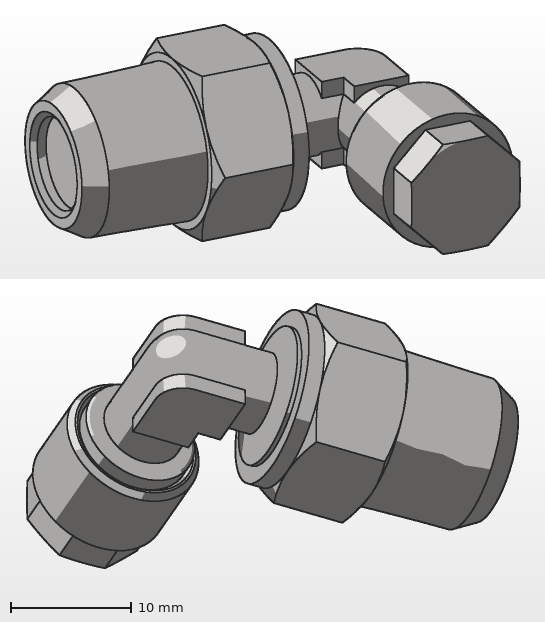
import cadquery as cq
import math


PIPE_RADIUS = 3.5
FLAT_HALF_WIDTH = 2.52
FLAT_HEIGHT = 7.9
FLAT_REACH = 4.55

SHOULDER_START = 7.02
SHOULDER_CONE_END = 7.75
SHOULDER_RADIUS = 6.0
WASHER_START = 8.1
HEX_START = 9.55
HEX_SIDES = 6
HEX_LENGTH = 7.57
HEX_ACROSS_FLATS = 15.0
HEX_CHAMFER_ANGLE = 30.0
THREAD_ROOT_RADIUS = 6.8
THREAD_TIP_RADIUS = 6.55
TIP_RADIUS = 5.42
TIP_CHAMFER_LENGTH = 1.98
MALE_END = 28.1
BORE_MOUTH_RADIUS = 4.5
BORE_RADIUS = 4.0
BORE_CHAMFER_LENGTH = 0.45
BORE_DEPTH = 1.25

COLLAR_START = 8.2
COLLAR_CONE_END = 8.52
COLLAR_CONE_RADIUS = 4.67
COLLAR_RIM = 8.65
COLLAR_RADIUS = 4.95
SLEEVE_START = 9.65
SLEEVE_RADIUS = 6.0
SLEEVE_CHAMFER = 0.5
SLEEVE_MOUTH_RADIUS = 5.3
SLEEVE_END = 17.15
OCTAGON_SIDES = 8
OCTAGON_ACROSS_FLATS = 10.0
OCTAGON_CHAMFER_ANGLE = 15.0
TUBE_END = 20.6

HEX_END = HEX_START + HEX_LENGTH
HEX_INRADIUS = HEX_ACROSS_FLATS / 2
HEX_CORNER_RADIUS = HEX_INRADIUS / math.cos(math.pi / HEX_SIDES)
OCTAGON_INRADIUS = OCTAGON_ACROSS_FLATS / 2
OCTAGON_CORNER_RADIUS = OCTAGON_INRADIUS / math.cos(math.pi / OCTAGON_SIDES)


def corner_drop(corner_radius, inradius, angle):
    """Length along the axis that a cone starting at the inradius takes off a polygon's corners."""
    return (corner_radius - inradius) * math.tan(math.radians(angle))


def turned_on_y(profile):
    """Revolve (radius, distance along -Y) points about the Y axis."""
    points = [(radius, -distance) for radius, distance in profile]
    return cq.Workplane("XY").polyline(points).close().revolve(360, (0, 0, 0), (0, 1, 0))


def turned_on_x(profile):
    """Revolve (distance along X, radius) points about the X axis."""
    return cq.Workplane("XY").polyline(profile).close().revolve(360, (0, 0, 0), (1, 0, 0))


def make_elbow():
    """Two pipes joined by a ball, with an L-shaped wrench flat above and below."""
    corner = cq.Workplane("XY").sphere(PIPE_RADIUS)
    down = cq.Workplane("XZ").circle(PIPE_RADIUS).extrude(WASHER_START)
    across = cq.Workplane("YZ").circle(PIPE_RADIUS).extrude(SLEEVE_START)
    w = FLAT_HALF_WIDTH
    diagonal = w / math.sqrt(2)
    flats = (
        cq.Workplane("XY", origin=(0, 0, -FLAT_HEIGHT / 2))
        .moveTo(0, w)
        .threePointArc((-diagonal, diagonal), (-w, 0))
        .lineTo(-w, -FLAT_REACH)
        .lineTo(w, -FLAT_REACH)
        .lineTo(w, -w)
        .lineTo(FLAT_REACH, -w)
        .lineTo(FLAT_REACH, w)
        .close()
        .extrude(FLAT_HEIGHT)
    )
    return corner.union(down).union(across).union(flats)


def make_hex():
    """Hexagon with flats facing +Z and -Z and both ends' corners turned away."""
    prism = (
        cq.Workplane("XZ", origin=(0, -HEX_START, 0))
        .polygon(HEX_SIDES, 2 * HEX_CORNER_RADIUS)
        .extrude(HEX_LENGTH)
    )
    drop = corner_drop(HEX_CORNER_RADIUS, HEX_INRADIUS, HEX_CHAMFER_ANGLE)
    return prism.intersect(turned_on_y([
        (0, HEX_START),
        (HEX_INRADIUS, HEX_START),
        (HEX_CORNER_RADIUS, HEX_START + drop),
        (HEX_CORNER_RADIUS, HEX_END - drop),
        (HEX_INRADIUS, HEX_END),
        (0, HEX_END),
    ]))


def make_male_end():
    """Conical shoulder, washer, hexagon and tapered thread blank with a shallow recess."""
    turned = turned_on_y([
        (0, SHOULDER_START),
        (PIPE_RADIUS, SHOULDER_START),
        (SHOULDER_RADIUS, SHOULDER_CONE_END),
        (SHOULDER_RADIUS, WASHER_START),
        (HEX_INRADIUS, WASHER_START),
        (HEX_INRADIUS, HEX_END),
        (THREAD_ROOT_RADIUS, HEX_END),
        (THREAD_TIP_RADIUS, MALE_END - TIP_CHAMFER_LENGTH),
        (TIP_RADIUS, MALE_END),
        (BORE_MOUTH_RADIUS, MALE_END),
        (BORE_RADIUS, MALE_END - BORE_CHAMFER_LENGTH),
        (BORE_RADIUS, MALE_END - BORE_DEPTH),
        (0, MALE_END - BORE_DEPTH),
    ])
    return turned.union(make_hex())


def make_octagon():
    """Octagonal release ring with flats facing Y and Z and the corners of its outer end turned away."""
    prism = (
        cq.Workplane("YZ", origin=(SLEEVE_END, 0, 0))
        .transformed(rotate=(0, 0, 180 / OCTAGON_SIDES))
        .polygon(OCTAGON_SIDES, 2 * OCTAGON_CORNER_RADIUS)
        .extrude(TUBE_END - SLEEVE_END)
    )
    drop = corner_drop(OCTAGON_CORNER_RADIUS, OCTAGON_INRADIUS, OCTAGON_CHAMFER_ANGLE)
    return prism.intersect(turned_on_x([
        (SLEEVE_END, 0),
        (SLEEVE_END, OCTAGON_CORNER_RADIUS),
        (TUBE_END - drop, OCTAGON_CORNER_RADIUS),
        (TUBE_END, OCTAGON_INRADIUS),
        (TUBE_END, 0),
    ]))


def make_tube_end():
    """Conical collar and countersunk, chamfered sleeve carrying the octagonal ring."""
    turned = turned_on_x([
        (COLLAR_START, 0),
        (COLLAR_START, PIPE_RADIUS),
        (COLLAR_CONE_END, COLLAR_CONE_RADIUS),
        (COLLAR_RIM, COLLAR_RADIUS),
        (SLEEVE_START + SLEEVE_MOUTH_RADIUS - COLLAR_RADIUS, COLLAR_RADIUS),
        (SLEEVE_START, SLEEVE_MOUTH_RADIUS),
        (SLEEVE_START, SLEEVE_RADIUS - SLEEVE_CHAMFER),
        (SLEEVE_START + SLEEVE_CHAMFER, SLEEVE_RADIUS),
        (SLEEVE_END, SLEEVE_RADIUS),
        (SLEEVE_END, 0),
    ])
    return turned.union(make_octagon())


result = make_elbow().union(make_male_end()).union(make_tube_end())